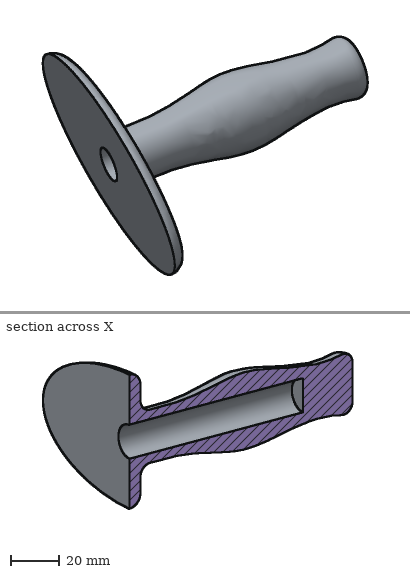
import cadquery as cq
import math

plate_length = 120.0
plate_width = 60.0
plate_thickness = 6.0
rim_height = 0.06

total_height = 116.0
neck_radius = 12.0
neck_fillet = 4.8
cap_rounding = 5.0
cap_radius = 13.7
cap_height = 6.0
overlap = 1.2

hole_diameter = 15.0
hole_depth = 90.0

cap_center_radius = cap_radius - cap_rounding
cap_center_height = total_height - cap_rounding
cap_drop = cap_height - cap_rounding
cap_reach = math.sqrt(cap_rounding**2 - cap_drop**2)
cap_tangent = (cap_drop / cap_rounding, cap_reach / cap_rounding)

neck_top = plate_thickness + neck_fillet
grip_points = [
    (12.0, 21.6),
    (13.5, 36.4),
    (15.7, 47.1),
    (17.4, 59.4),
    (16.1, 72.2),
    (14.0, 83.0),
    (12.5, 95.4),
    (cap_center_radius + cap_reach, total_height - cap_height),
]


def make_plate():
    blank = (
        cq.Workplane("XZ")
        .ellipse(plate_length / 2, plate_width / 2)
        .extrude(-plate_thickness)
    )
    return blank.faces(">Y").edges().fillet(plate_thickness - rim_height)


def make_handle():
    profile = (
        cq.Workplane("XY")
        .moveTo(0, plate_thickness - overlap)
        .lineTo(neck_radius + neck_fillet, plate_thickness - overlap)
        .lineTo(neck_radius + neck_fillet, plate_thickness)
        .radiusArc((neck_radius, neck_top), neck_fillet)
        .spline(grip_points, tangents=[(0, 1), cap_tangent], includeCurrent=True)
        .threePointArc(
            (
                cap_center_radius + cap_rounding * math.cos(math.pi / 4),
                cap_center_height + cap_rounding * math.sin(math.pi / 4),
            ),
            (cap_center_radius, total_height),
        )
        .lineTo(0, total_height)
        .close()
    )
    return profile.revolve(360, (0, 0, 0), (0, 1, 0))


def make_hole():
    return cq.Workplane("XZ").circle(hole_diameter / 2).extrude(-hole_depth)


result = make_plate().union(make_handle()).cut(make_hole())